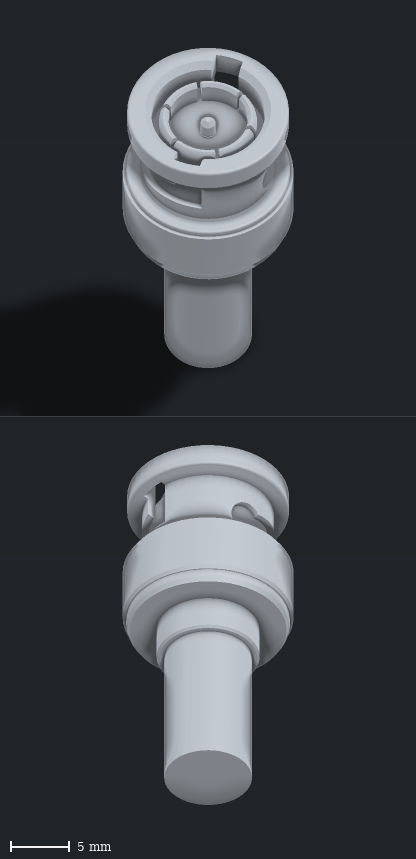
import cadquery as cq
import math

total_height = 30.95
ferrule_top = 13.0
sleeve_top = 16.1
lower_chamfer_break = 16.5
lower_chamfer_top = 16.8
body_bottom = 17.2
body_top = 22.4
shoulder_top = 22.95
insulator_top = 27.95
neck_top = 28.55
rim_bottom = 29.1
contact_top = 30.1
pin_collar_top = 28.1
pin_cone_base = 29.25
pin_top = 29.7

ferrule_radius = 3.75
sleeve_radius = 4.4
body_radius = 7.3
shoulder_radius = 7.0
neck_radius = 5.65
rim_radius = 6.92
bore_radius = 4.85
insulator_radius = 5.05

sleeve_chamfer = 0.2
body_chamfer_radial = 0.2
body_chamfer_height = 0.3
shoulder_fillet = 0.2
lower_face_radius = 6.7
lower_break_radius = 6.93
neck_flare = 0.2
rim_top_fillet = 0.25
rim_bottom_fillet = 0.25
bore_chamfer = 0.55

contact_outer_radius = 4.2
contact_inner_radius = 3.4
contact_chamfer = 0.27
contact_lip_width = 0.35
contact_lip_height = 0.8
contact_slot_width = 0.4
contact_slot_count = 6
pin_radius = 0.63
pin_collar_radius = 0.7
pin_tip_radius = 0.27

entry_slot_width = 2.4
entry_slot_radius = 6.05
lock_hole_radius = 1.6
lock_hole_height = 24.75
ramp_width = 2.3
ramp_angle = 14.5
cut_reach = 10.0


def disc(radius, bottom, top):
    """Cylinder on the part's axis between two heights."""
    return cq.Workplane("XY").workplane(offset=bottom).circle(radius).extrude(top - bottom)


def turn(half_outline):
    """Close a half outline drawn in the XZ plane and turn it around the part's axis."""
    return half_outline.close().revolve(360, (0, 0, 0), (0, 1, 0))


def make_shell():
    """Turned outside of the connector, solid inside."""
    outline = (
        cq.Workplane("XZ")
        .moveTo(0, 0)
        .lineTo(ferrule_radius, 0)
        .lineTo(ferrule_radius, ferrule_top)
        .lineTo(sleeve_radius - sleeve_chamfer, ferrule_top)
        .lineTo(sleeve_radius, ferrule_top + sleeve_chamfer)
        .lineTo(sleeve_radius, sleeve_top)
        .lineTo(lower_face_radius, sleeve_top)
        .lineTo(lower_break_radius, lower_chamfer_break)
        .lineTo(shoulder_radius, lower_chamfer_top)
        .lineTo(shoulder_radius, body_bottom)
        .lineTo(body_radius - body_chamfer_radial, body_bottom)
        .lineTo(body_radius, body_bottom + body_chamfer_height)
        .lineTo(body_radius, body_top)
        .lineTo(shoulder_radius, body_top)
        .lineTo(shoulder_radius, shoulder_top - shoulder_fillet)
        .radiusArc((shoulder_radius - shoulder_fillet, shoulder_top), -shoulder_fillet)
        .lineTo(neck_radius + neck_flare, shoulder_top)
        .lineTo(neck_radius, shoulder_top + neck_flare)
        .lineTo(neck_radius, neck_top)
        .lineTo(rim_radius - rim_bottom_fillet, rim_bottom - rim_bottom_fillet)
        .radiusArc((rim_radius, rim_bottom), -rim_bottom_fillet)
        .lineTo(rim_radius, total_height - rim_top_fillet)
        .radiusArc((rim_radius - rim_top_fillet, total_height), -rim_top_fillet)
        .lineTo(0, total_height)
    )
    return turn(outline)


def make_bore():
    """Mating cavity above the insulator, with a wide lead-in chamfer."""
    outline = (
        cq.Workplane("XZ")
        .moveTo(0, insulator_top)
        .lineTo(bore_radius, insulator_top)
        .lineTo(bore_radius, total_height - bore_chamfer)
        .lineTo(bore_radius + bore_chamfer, total_height)
        .lineTo(0, total_height)
    )
    return turn(outline)


def make_bayonet_slot():
    """Cutter for the slot that enters at -Y and ramps down to the lock hole at -X."""
    ramp_slope = math.tan(math.radians(ramp_angle))
    half_rise = ramp_width / 2 / math.cos(math.radians(ramp_angle))
    ramp_floor_start = lock_hole_height - lock_hole_radius / math.cos(math.radians(ramp_angle))
    ramp_mid_start = ramp_floor_start + half_rise
    ramp_mid_end = ramp_mid_start + cut_reach * ramp_slope
    half_entry = entry_slot_width / 2

    ramp = (
        cq.Workplane("YZ")
        .workplane(offset=-cut_reach)
        .moveTo(0, ramp_mid_start - half_rise)
        .lineTo(0, ramp_mid_start + half_rise)
        .lineTo(-cut_reach, ramp_mid_end + half_rise)
        .lineTo(-cut_reach, ramp_mid_end - half_rise)
        .close()
        .extrude(cut_reach + half_entry)
    )
    lock_hole = (
        cq.Workplane("YZ")
        .workplane(offset=-cut_reach)
        .center(0, lock_hole_height)
        .circle(lock_hole_radius)
        .extrude(cut_reach)
    )
    entry = (
        cq.Workplane("YZ")
        .workplane(offset=-half_entry)
        .moveTo(0, ramp_mid_start)
        .lineTo(0, total_height)
        .lineTo(-cut_reach, total_height)
        .lineTo(-cut_reach, ramp_mid_end)
        .close()
        .extrude(entry_slot_width)
    )
    cutter = ramp.union(lock_hole).union(entry)
    return cutter.intersect(disc(entry_slot_radius, body_bottom, total_height))


def make_outer_contact():
    """Thin ring with a rounded lip, split into equal fingers."""
    lip_arc_radius = (contact_lip_height**2 + contact_lip_width**2) / (2 * contact_lip_width)
    outline = (
        cq.Workplane("XZ")
        .moveTo(contact_inner_radius, insulator_top)
        .lineTo(contact_outer_radius, insulator_top)
        .lineTo(contact_outer_radius, contact_top - contact_lip_height)
        .radiusArc((contact_outer_radius - contact_lip_width, contact_top), -lip_arc_radius)
        .lineTo(contact_inner_radius + contact_chamfer, contact_top)
        .lineTo(contact_inner_radius, contact_top - contact_chamfer)
    )
    ring = turn(outline)
    for index in range(contact_slot_count // 2):
        gap = (
            cq.Workplane("XY")
            .workplane(offset=insulator_top)
            .rect(2 * cut_reach, contact_slot_width)
            .extrude(contact_top - insulator_top)
            .rotate((0, 0, 0), (0, 0, 1), index * 360 / contact_slot_count)
        )
        ring = ring.cut(gap)
    return ring


def make_pin():
    """Centre pin with a blunt conical tip."""
    outline = (
        cq.Workplane("XZ")
        .moveTo(0, insulator_top)
        .lineTo(pin_collar_radius, insulator_top)
        .lineTo(pin_collar_radius, pin_collar_top)
        .lineTo(pin_radius, pin_collar_top)
        .lineTo(pin_radius, pin_cone_base)
        .lineTo(pin_tip_radius, pin_top)
        .lineTo(0, pin_top)
    )
    return turn(outline)


shell = make_shell().cut(make_bore())
insulator = disc(insulator_radius, body_bottom, insulator_top)
bayonet_slot = make_bayonet_slot()
for angle in (0, 180):
    shell = shell.cut(bayonet_slot.rotate((0, 0, 0), (0, 0, 1), angle))

result = shell.union(insulator).union(make_outer_contact()).union(make_pin())